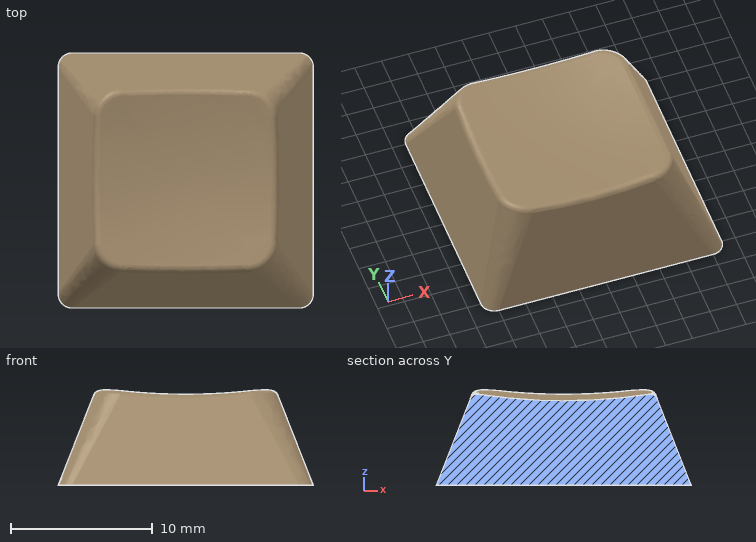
import cadquery as cq

base_side = 18.0
base_corner_radius = 1.0
blank_height = 7.0
side_inset = 2.75
blank_top_side = base_side - 2 * side_inset
blank_top_corner_radius = 2.0

dish_radius = 40.0
dish_bottom_height = 5.98

rim_radius = 0.5


def rounded_square(side, corner_radius, height):
    """Rounded square lying flat at the given height."""
    flat_outline = cq.Sketch().rect(side, side).vertices().fillet(corner_radius)
    return flat_outline.moved(cq.Location((0, 0, height)))


def make_blank():
    """Solid tapered cap before the dish is cut."""
    bottom = rounded_square(base_side, base_corner_radius, 0)
    top = rounded_square(blank_top_side, blank_top_corner_radius, blank_height)
    return cq.Workplane("XY").placeSketch(bottom, top).loft(ruled=True)


def make_dish_ball():
    """Ball whose lowest point is the bottom of the dish."""
    ball_centre_height = dish_bottom_height + dish_radius
    return cq.Workplane("XY").sphere(dish_radius).translate((0, 0, ball_centre_height))


dished_cap = make_blank().cut(make_dish_ball())
result = dished_cap.faces("%SPHERE").edges().fillet(rim_radius)